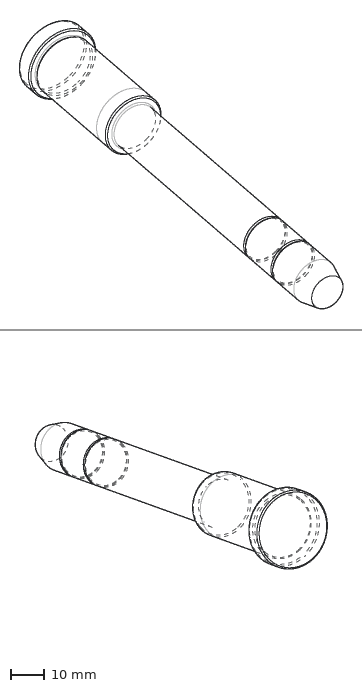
import cadquery as cq
import math

length = 151.0

edge_break = 0.5

head_diameter = 24.0
head_thickness = 6.0

body_diameter = 20.0
seam_position = 39.7
body_end = 45.0

shaft_diameter = 15.0
tip_length = 7.0
tip_angle = 15.0

groove_radius = 0.5
neck_groove_center = head_thickness + groove_radius
shaft_groove_centers = (117.0, 132.0)


def make_turned_blank():
    """Revolve the half outline, drawn as (X, radius), about the X axis."""
    head_radius = head_diameter / 2
    body_radius = body_diameter / 2
    shaft_radius = shaft_diameter / 2
    tip_radius = shaft_radius - tip_length * math.tan(math.radians(tip_angle))

    return (
        cq.Workplane("XY")
        .lineTo(0, head_radius - edge_break)
        .lineTo(edge_break, head_radius)
        .lineTo(head_thickness - edge_break, head_radius)
        .lineTo(head_thickness, head_radius - edge_break)
        .lineTo(head_thickness, body_radius)
        .lineTo(seam_position, body_radius)
        .lineTo(body_end - edge_break, body_radius)
        .lineTo(body_end, body_radius - edge_break)
        .lineTo(body_end, shaft_radius + edge_break)
        .tangentArcPoint((body_end + edge_break, shaft_radius), relative=False)
        .lineTo(length - tip_length, shaft_radius)
        .lineTo(length, tip_radius)
        .lineTo(length, 0)
        .close()
        .revolve(360, (0, 0, 0), (1, 0, 0), clean=False)
    )


def make_groove_cutter(center, diameter):
    """Half-round ring lying just inside a cylinder of the given diameter."""
    ring = cq.Solid.makeTorus(
        diameter / 2,
        groove_radius,
        pnt=cq.Vector(center, 0, 0),
        dir=cq.Vector(1, 0, 0),
    )
    cylinder = cq.Workplane("YZ").circle(diameter / 2).extrude(length)
    return cylinder.intersect(cq.Workplane(ring))


result = make_turned_blank()
result = result.cut(make_groove_cutter(neck_groove_center, body_diameter), clean=False)
for groove_center in shaft_groove_centers:
    result = result.cut(make_groove_cutter(groove_center, shaft_diameter), clean=False)